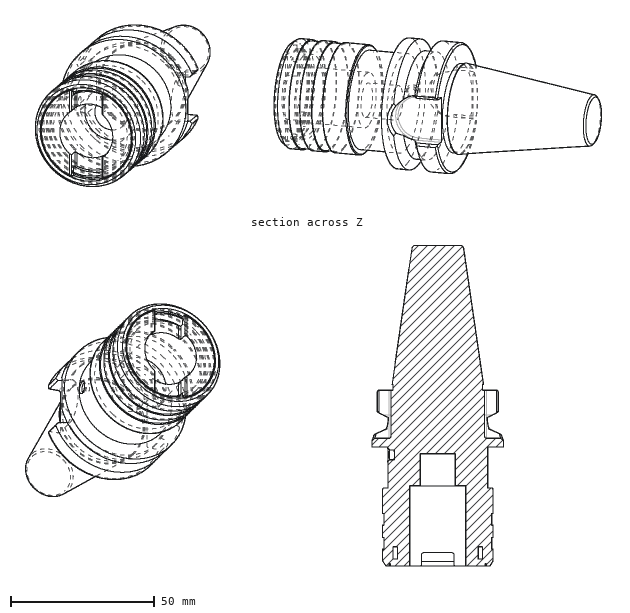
import cadquery as cq
import math

LENGTH = 111.9

CLEARANCE = 1.1
SELECT_MARGIN = 0.06

TAPER_RATIO = 7 / 24
TAPER_BASE_RADIUS = 16.0
TAPER_BASE_Y = 63.3
TAPER_END_CHAMFER = 0.7
NECK_RADIUS = 15.7

FLANGE_RADIUS = 23.0
FLANGE_FRONT_Y = 41.5
FLANGE_BACK_Y = 61.4
FLANGE_CHAMFER = 0.7
GROOVE_RADIUS = 19
GROOVE_FRONT_Y = 47.9
GROOVE_BACK_Y = 51.8
GROOVE_FLANK = 2.1

SLOT_WIDTH = 16.1
SLOT_FLOOR_X = 16.3
SLOT_CENTER_Y = 52.7
SLOT_FLOOR_FILLET = 0.7
SLOT_EDGE_CHAMFER = 1.0

BODY_RADIUS = 17.5
SLEEVE_RADIUS = 19.4
SLEEVE_BACK_Y = 27.3
SLEEVE_BACK_CHAMFER = 0.3
NOSE_CHAMFER_RADIAL = 1.2
NOSE_CHAMFER_AXIAL = 1.8
BAND_DEPTH = 0.5
BAND_WIDTH = 4.0
BAND_STARTS = (5.9, 14.3)

GAP_INNER_RADIUS = 16.6
GAP_OUTER_RADIUS = 16.9
GAP_DEPTH = 0.8

BORE_RADIUS = 9.7
BORE_DEPTH = 28
BORE_HOLE_RADIUS = 6.0
BORE_HOLE_DEPTH = 11.2

KEY_WIDTH = 11.2
KEY_DEPTH = 4.8
KEY_CHAMFER = 0.6
KEY_FLOOR_CHAMFER = 0.6
LEDGE_DEPTH = 1.7
LEDGE_CHAMFER = 0.8

RING_INNER_RADIUS = 14.2
RING_OUTER_RADIUS = 15.5
RING_START_Y = 2.6
RING_END_Y = 6.7

PIN_Y = 38.8
PIN_RADIUS = 1.7
PIN_COUNTERSINK_RADIUS = 2.3
PIN_FLOOR_RADIUS = 15.2


def tube(radius, start, end):
    """Solid cylinder on the tool axis from start to the farther position end along Y."""
    return cq.Workplane("XZ", origin=(0, start, 0)).circle(radius).extrude(start - end)


def revolved(outline):
    """Solid of revolution about the Y axis from (radius, y) points."""
    return cq.Workplane("XY").polyline(outline).close().revolve(360, (0, 0, 0), (0, 1, 0))


def outer_body():
    taper_end_radius = TAPER_BASE_RADIUS - (LENGTH - TAPER_BASE_Y) * TAPER_RATIO / 2
    outline = [
        (0, 0),
        (SLEEVE_RADIUS - NOSE_CHAMFER_RADIAL, 0),
        (SLEEVE_RADIUS, NOSE_CHAMFER_AXIAL),
        (SLEEVE_RADIUS, SLEEVE_BACK_Y - SLEEVE_BACK_CHAMFER),
        (SLEEVE_RADIUS - SLEEVE_BACK_CHAMFER, SLEEVE_BACK_Y),
        (BODY_RADIUS, SLEEVE_BACK_Y),
        (BODY_RADIUS, FLANGE_FRONT_Y),
        (FLANGE_RADIUS, FLANGE_FRONT_Y),
        (FLANGE_RADIUS, GROOVE_FRONT_Y - GROOVE_FLANK),
        (GROOVE_RADIUS, GROOVE_FRONT_Y),
        (GROOVE_RADIUS, GROOVE_BACK_Y),
        (FLANGE_RADIUS, GROOVE_BACK_Y + GROOVE_FLANK),
        (FLANGE_RADIUS, FLANGE_BACK_Y - FLANGE_CHAMFER),
        (FLANGE_RADIUS - FLANGE_CHAMFER, FLANGE_BACK_Y),
        (NECK_RADIUS, FLANGE_BACK_Y),
        (NECK_RADIUS, TAPER_BASE_Y),
        (TAPER_BASE_RADIUS, TAPER_BASE_Y),
        (taper_end_radius + TAPER_END_CHAMFER * TAPER_RATIO / 2, LENGTH - TAPER_END_CHAMFER),
        (taper_end_radius - TAPER_END_CHAMFER, LENGTH),
        (0, LENGTH),
    ]
    return revolved(outline)


def annulus(outer_radius, inner_radius, start, end):
    return tube(outer_radius, start, end).cut(tube(inner_radius, start, end))


def grip_band(start):
    return annulus(SLEEVE_RADIUS + CLEARANCE, SLEEVE_RADIUS - BAND_DEPTH, start, start + BAND_WIDTH)


def drive_slot():
    """Cutter for the -X drive slot: round at the front, open at the back of the flange."""
    height = FLANGE_RADIUS - SLOT_FLOOR_X + CLEARANCE
    back = FLANGE_BACK_Y + CLEARANCE
    radius = SLOT_WIDTH / 2
    cutter = (
        cq.Workplane("YZ", origin=(-SLOT_FLOOR_X, 0, 0))
        .moveTo(back, radius)
        .lineTo(SLOT_CENTER_Y, radius)
        .threePointArc((SLOT_CENTER_Y - radius, 0), (SLOT_CENTER_Y, -radius))
        .lineTo(back, -radius)
        .close()
        .extrude(-height)
    )
    return cutter.faces(">X").edges("not(#Z and >Y)").fillet(SLOT_FLOOR_FILLET)


def key_slot():
    """Cutter for the key slot: it opens to the sleeve at the mouth and narrows behind a chamfered ledge."""
    slot_length = 2 * GAP_OUTER_RADIUS
    half_width = KEY_WIDTH / 2
    half_mouth = half_width + KEY_CHAMFER
    half_floor = half_width - KEY_FLOOR_CHAMFER
    right_side = [
        (half_mouth, 0),
        (half_width, KEY_CHAMFER),
        (half_width, KEY_DEPTH - KEY_FLOOR_CHAMFER),
        (half_floor, KEY_DEPTH),
    ]
    left_side = [(-x, y) for x, y in reversed(right_side)]
    channel = (
        cq.Workplane("XY", origin=(0, 0, -slot_length / 2))
        .polyline(right_side + left_side)
        .close()
        .extrude(slot_length)
    )
    reach_outline = [
        (0, 0),
        (GAP_OUTER_RADIUS, 0),
        (GAP_OUTER_RADIUS, LEDGE_DEPTH + LEDGE_CHAMFER),
        (RING_OUTER_RADIUS + LEDGE_CHAMFER, LEDGE_DEPTH + LEDGE_CHAMFER),
        (RING_OUTER_RADIUS, LEDGE_DEPTH),
        (RING_OUTER_RADIUS, KEY_DEPTH),
        (0, KEY_DEPTH),
    ]
    return channel.intersect(revolved(reach_outline))


def pin_hole():
    """Cutter for the countersunk pin hole in the -X side, with a floor concentric to the body."""
    countersink = PIN_COUNTERSINK_RADIUS - PIN_RADIUS
    outline = [
        (0, 0),
        (PIN_RADIUS, 0),
        (PIN_RADIUS, BODY_RADIUS - countersink),
        (PIN_COUNTERSINK_RADIUS, BODY_RADIUS),
        (PIN_COUNTERSINK_RADIUS, BODY_RADIUS + CLEARANCE),
        (0, BODY_RADIUS + CLEARANCE),
    ]
    hole = revolved(outline).rotate((0, 0, 0), (0, 0, 1), 90).translate((0, PIN_Y, 0))
    return hole.cut(tube(PIN_FLOOR_RADIUS, 0, FLANGE_BACK_Y))


def slot_rims(body):
    """Edges where the drive slots break through the outer face of the flange."""
    half_width = SLOT_WIDTH / 2 + SELECT_MARGIN
    corner = (-FLANGE_RADIUS, FLANGE_FRONT_Y + SELECT_MARGIN, -half_width)
    opposite_corner = (FLANGE_RADIUS, FLANGE_BACK_Y, half_width)
    nearby = body.edges(cq.selectors.BoxSelector(corner, opposite_corner))

    def lies_on_flange(edge):
        points = [edge.positionAt(t) for t in (0, 0.5, 1)]
        return all(abs(math.hypot(p.x, p.z) - FLANGE_RADIUS) < SELECT_MARGIN for p in points)

    return nearby.filter(lies_on_flange)


slot = drive_slot()
result = outer_body().cut(slot).cut(slot.mirror("YZ"))
result = slot_rims(result).chamfer(SLOT_EDGE_CHAMFER)

for band_start in BAND_STARTS:
    result = result.cut(grip_band(band_start))

result = result.cut(pin_hole())
result = result.cut(annulus(GAP_OUTER_RADIUS, GAP_INNER_RADIUS, 0, GAP_DEPTH))
result = result.cut(annulus(RING_OUTER_RADIUS, RING_INNER_RADIUS, RING_START_Y, RING_END_Y))
result = result.cut(key_slot())
result = result.cut(tube(BORE_RADIUS, 0, BORE_DEPTH))
result = result.cut(tube(BORE_HOLE_RADIUS, 0, BORE_DEPTH + BORE_HOLE_DEPTH))